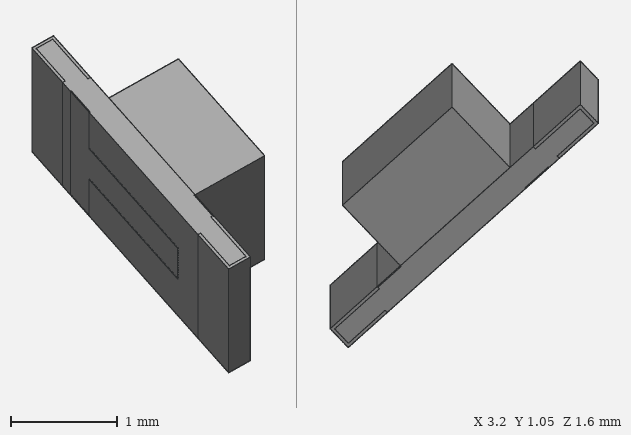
import cadquery as cq

length = 3.2
height = 1.6
board_thickness = 0.25
block_depth = 0.8
block_width = 1.4
block_left = -block_width / 2

plate = 0.03
front_lap = 0.5
back_lap = 0.6

layer = 0.01
mark_left = -0.97
mark_bar_width = 0.3
mark_stem_length = 1.44
mark_stem_height = 0.475

half_length = length / 2
block_right = block_left + block_width
trace_width = half_length - back_lap - block_right


def upright_box(left, front, width, depth, tall=height):
    """Box placed by its left X and front Y, centred on Z = 0."""
    box = cq.Workplane("XY").box(width, depth, tall, centered=(False, False, True))
    return box.translate((left, front, 0))


def make_terminal(side):
    """C-shaped terminal around one end of the board; side is -1 (left) or 1 (right)."""
    end = side * half_length
    inner = end - side * plate
    front_tip = end - side * front_lap
    back_tip = end - side * back_lap
    outline = [
        (front_tip, 0),
        (end, 0),
        (end, board_thickness),
        (back_tip, board_thickness),
        (back_tip, board_thickness - plate),
        (inner, board_thickness - plate),
        (inner, plate),
        (front_tip, plate),
    ]
    return cq.Workplane("XY").polyline(outline).close().extrude(height / 2, both=True)


def make_polarity_mark():
    """Sideways T: a full-height bar with a stem pointing toward +X."""
    bar = upright_box(mark_left, 0, mark_bar_width, layer)
    stem = upright_box(mark_left + mark_bar_width, 0, mark_stem_length, layer, mark_stem_height)
    return bar.union(stem)


def make_board(inlays):
    """Rectangular board with a matching recess for every terminal and layer."""
    board = upright_box(-half_length, 0, length, board_thickness)
    for inlay in inlays:
        board = board.cut(inlay)
    return board


terminals = [make_terminal(side) for side in (-1, 1)]
polarity_mark = make_polarity_mark()
trace = upright_box(block_right, board_thickness - layer, trace_width, layer)
board = make_board([*terminals, polarity_mark, trace])
block = upright_box(block_left, board_thickness, block_width, block_depth)

result = cq.Compound.makeCompound([
    board.val(),
    *[terminal.val() for terminal in terminals],
    polarity_mark.val(),
    trace.val(),
    block.val(),
])